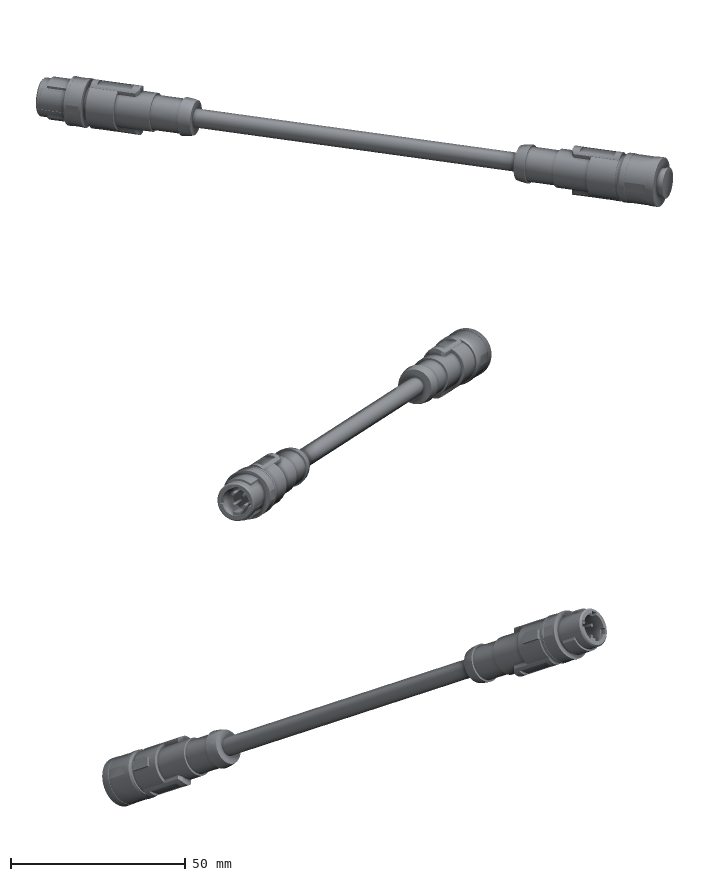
import cadquery as cq
import math

total_length = 191.3
cable_radius = 2.75
overlap = 0.2

grip_length = 31.4
plug_grip_x = 15.6
socket_grip_x = 177.4
body_radius = 6.6
body_length = 8.5
waist_radius = 5.66
waist_end = 19.15
neck_radius = 5.1
collar_start = 27.85

rib_peak = 7.395
rib_length = 14.75
rib_half_width = 2.65
rib_shoulder = 6.1
rib_corner = 0.9
pocket_start = 1.8
pocket_length = 10.6
pocket_width = 3.6
pocket_floor = 6.65

mark_length = 6.1
mark_width = 2.8
mark_height = 7.15

ring_radius = 7.2
flat_half_width = 1.45
rim_step = 0.12
ring_middle_radius = ring_radius - rim_step
flat_offset = math.sqrt(ring_middle_radius**2 - flat_half_width**2)
plug_ring_start = 9.1
plug_ring_end = 14.35
plug_ring_rim = 0.75
plug_neck_radius = 5.0

plug_radius = 5.66
plug_chamfer = 0.4
bore_radius = 4.1
bore_depth = 8.5
pad_radius = 6.22
top_pad_start = 2.8
top_pad_half_width = 3.55
bottom_pad_start = 3.3
bottom_pad_end = 8.0
bottom_pad_half_width = 4.6
relief_start = 1.2
relief_depth = 0.15
relief_bottom_z = -1.75
relief_top_z = 4.25

slot_width = 1.8
slot_radius = 4.8
slot_depth = 1.6
key_top_radius = 3.1
pin_radius = 0.5
pin_offset = 1.7
pin_tip_x = 2.5

socket_cone_start = 178.2
socket_cone_radius = 6.8
socket_ring_start = 178.9
socket_flat_start = 180.6
socket_flat_end = 187.0
socket_ring_end = 189.4
lip_radius = 4.5
lip_groove_radius = 4.2
lip_width = 0.6


def frustum(x_start, x_end, r_start, r_end):
    """Solid of revolution about X with a straight flank."""
    outline = [(x_start, 0), (x_start, r_start), (x_end, r_end), (x_end, 0)]
    return cq.Workplane("XY").polyline(outline).close().revolve(360, (0, 0, 0), (1, 0, 0))


def cylinder(x_start, x_end, radius):
    return frustum(x_start, x_end, radius, radius)


def box(x_start, x_end, y_min, y_max, z_min, z_max):
    size = (x_end - x_start, y_max - y_min, z_max - z_min)
    return cq.Workplane("XY").box(*size, centered=False).translate((x_start, y_min, z_min))


def grip_rib():
    """Round-topped rib on +Z with a rectangular pocket."""
    rib = (
        cq.Workplane("YZ")
        .moveTo(-rib_half_width, 0)
        .lineTo(-rib_half_width, rib_shoulder)
        .threePointArc((0, rib_peak), (rib_half_width, rib_shoulder))
        .lineTo(rib_half_width, 0)
        .close()
        .extrude(rib_length)
        .edges("|Z and >X")
        .chamfer(rib_corner)
    )
    pocket = box(
        pocket_start, pocket_start + pocket_length,
        -pocket_width / 2, pocket_width / 2,
        pocket_floor, rib_peak,
    )
    return rib.cut(pocket)


def collar():
    """Strain-relief collar: starts parallel to the axis and curves in towards the cable."""
    length = grip_length - collar_start
    drop = waist_radius - neck_radius
    arc_radius = (length**2 + drop**2) / (2 * drop)
    half_sweep = math.asin(length / arc_radius) / 2
    bulge = (
        collar_start + arc_radius * math.sin(half_sweep),
        waist_radius - arc_radius * (1 - math.cos(half_sweep)),
    )
    return (
        cq.Workplane("XY")
        .moveTo(collar_start, 0)
        .lineTo(collar_start, waist_radius)
        .threePointArc(bulge, (grip_length, neck_radius))
        .lineTo(grip_length, 0)
        .close()
        .revolve(360, (0, 0, 0), (1, 0, 0))
    )


def grip():
    """Moulded grip starting at X = 0 and running to the cable in +X."""
    body = cylinder(0, body_length, body_radius)
    body = body.union(cylinder(0, waist_end, waist_radius))
    body = body.union(cylinder(0, collar_start + overlap, neck_radius))
    body = body.union(collar())
    rib = grip_rib()
    body = body.union(rib).union(rib.mirror("XY"))
    mark = box(0, mark_length, 0, mark_height, -mark_width / 2, mark_width / 2)
    return body.union(mark)


def ring_middle(x_start, x_end):
    """Middle part of a coupling ring with a narrow flat on its -Y and +Y sides."""
    return cylinder(x_start, x_end, ring_middle_radius).intersect(
        box(x_start, x_end, -flat_offset, flat_offset, -ring_radius, ring_radius)
    )


def plug_pad(x_start, x_end, half_width):
    """Raised cylindrical pad on the +Z side of the plug tube."""
    return cylinder(x_start, x_end, pad_radius).intersect(
        box(x_start, x_end, -half_width, half_width, 0, pad_radius)
    )


def plug_shell():
    """Plug tube with pads, side relief and coded bore."""
    shell = frustum(0, plug_chamfer, plug_radius - plug_chamfer, plug_radius)
    shell = shell.union(cylinder(plug_chamfer, plug_ring_start + overlap, plug_radius))
    sleeve = cylinder(relief_start, plug_ring_start, pad_radius)
    sleeve = sleeve.cut(cylinder(relief_start, plug_ring_start, plug_radius - relief_depth))
    relief = sleeve.intersect(
        box(relief_start, plug_ring_start, -pad_radius, 0, relief_bottom_z, relief_top_z)
    )
    shell = shell.cut(relief)
    shell = shell.union(plug_pad(top_pad_start, plug_ring_start + overlap, top_pad_half_width))
    bottom_pad = plug_pad(bottom_pad_start, bottom_pad_end, bottom_pad_half_width)
    shell = shell.union(bottom_pad.mirror("XY"))

    shell = shell.cut(cylinder(0, bore_depth, bore_radius))
    slot = box(0, slot_depth, -slot_width / 2, slot_width / 2, 0, slot_radius)
    for angle in (-90, 0, 90):
        shell = shell.cut(slot.rotate((0, 0, 0), (1, 0, 0), angle))
    key = box(
        plug_chamfer, bore_depth + overlap,
        -slot_width / 2, slot_width / 2,
        -bore_radius - overlap, -key_top_radius,
    )
    return shell.union(key)


def plug():
    """Plug tube, contact pins and coupling ring."""
    front_rim_end = plug_ring_start + plug_ring_rim
    rear_rim_start = plug_ring_end - plug_ring_rim
    body = plug_shell().union(ring_middle(front_rim_end, rear_rim_start))
    body = body.union(cylinder(plug_ring_start, front_rim_end, ring_radius))
    body = body.union(cylinder(rear_rim_start, plug_ring_end, ring_radius))
    body = body.union(cylinder(plug_ring_end - overlap, plug_grip_x + overlap, plug_neck_radius))
    for y in (-pin_offset, pin_offset):
        for z in (-pin_offset, pin_offset):
            pin = cylinder(pin_tip_x, bore_depth + overlap, pin_radius)
            body = body.union(pin.translate((0, y, z)))
    return body


def socket():
    """Socket coupling ring with its cone, flats and front lip."""
    body = cylinder(socket_grip_x - overlap, socket_cone_start, body_radius - overlap)
    body = body.union(frustum(socket_cone_start, socket_ring_start, socket_cone_radius, ring_radius))
    body = body.union(cylinder(socket_ring_start, socket_flat_start, ring_radius))
    body = body.union(ring_middle(socket_flat_start, socket_flat_end))
    body = body.union(cylinder(socket_flat_end, socket_ring_end, ring_radius))
    body = body.union(cylinder(socket_ring_end - overlap, total_length, lip_groove_radius))
    return body.union(cylinder(total_length - lip_width, total_length, lip_radius))


def cable():
    x_start = plug_grip_x + grip_length - overlap
    x_end = socket_grip_x - grip_length + overlap
    return cylinder(x_start, x_end, cable_radius)


plug_grip = grip().translate((plug_grip_x, 0, 0))
socket_grip = grip().mirror("YZ").translate((socket_grip_x, 0, 0))
result = plug().union(plug_grip).union(cable()).union(socket_grip).union(socket())